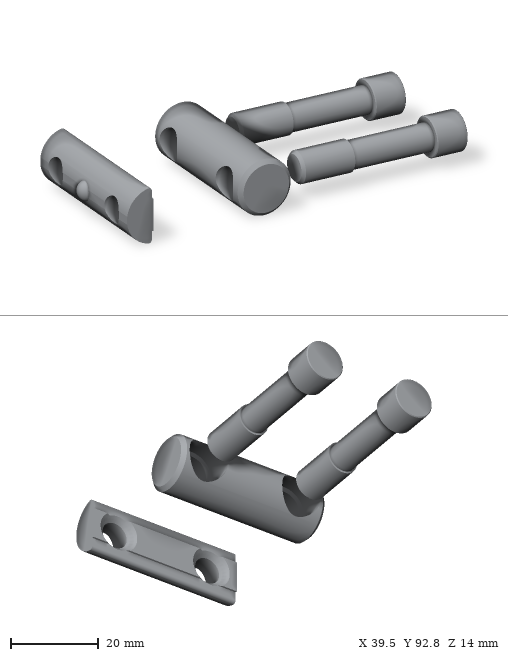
import cadquery as cq

body_length = 39.5
bolt_spacing = 25.5
bolt_x_positions = (-bolt_spacing / 2, bolt_spacing / 2)

bolt_head_end_y = (52.95, 54.45)
plate_front_y = -36.75

barrel_diameter = 14.0
barrel_chamfer = 1.0
barrel_hole_diameter = 8.0
counterbore_diameter = 10.6
counterbore_floor_y = 0.0

head_diameter = 10.0
head_height = 8.0
head_chamfer = 0.2
shank_diameter = 7.0
shank_length = 21.2
thread_diameter = 8.0
thread_length = 13.8
thread_tip_diameter = 6.6
thread_chamfer_length = 0.8

plate_radius = 7.0
front_flat_width = 2.0
plate_thickness = 7.0
pad_height = 0.5
pad_width = 8.0
plate_corner_radius = 0.75
plate_hole_diameter = 6.6
countersink_diameter = 10.1
ball_diameter = 5.0
ball_projection = 1.57


def cylinder_y(diameter, x, start_y, end_y):
    """Solid cylinder parallel to Y, from start_y to the larger end_y."""
    return (
        cq.Workplane("XZ", origin=(x, end_y, 0))
        .circle(diameter / 2)
        .extrude(end_y - start_y)
    )


def make_barrel():
    radius = barrel_diameter / 2
    barrel = (
        cq.Workplane("YZ", origin=(-body_length / 2, 0, 0))
        .circle(radius)
        .extrude(body_length)
        .faces("<X or >X")
        .chamfer(barrel_chamfer)
    )
    for x in bolt_x_positions:
        barrel = barrel.cut(cylinder_y(barrel_hole_diameter, x, -radius, radius))
        barrel = barrel.cut(cylinder_y(counterbore_diameter, x, counterbore_floor_y, radius))
    return barrel


def make_bolt(x, head_end_y):
    """Revolve the half profile about the bolt axis; the tip points toward -Y."""
    head_radius = head_diameter / 2
    head_base_y = head_end_y - head_height
    thread_start_y = head_base_y - shank_length
    tip_y = thread_start_y - thread_length
    half_profile = [
        (0, head_end_y),
        (head_radius - head_chamfer, head_end_y),
        (head_radius, head_end_y - head_chamfer),
        (head_radius, head_base_y + head_chamfer),
        (head_radius - head_chamfer, head_base_y),
        (shank_diameter / 2, head_base_y),
        (shank_diameter / 2, thread_start_y),
        (thread_diameter / 2, thread_start_y),
        (thread_diameter / 2, tip_y + thread_chamfer_length),
        (thread_tip_diameter / 2, tip_y),
        (0, tip_y),
    ]
    return (
        cq.Workplane("XY")
        .polyline(half_profile)
        .close()
        .revolve(360, (0, 0, 0), (0, 1, 0))
        .translate((x, 0, 0))
    )


def make_plate_blank():
    """Extrude the half-round section along X and round its two outer corners."""
    half_flat = front_flat_width / 2
    arc_centre_y = plate_front_y + (plate_radius**2 - half_flat**2) ** 0.5
    back_y = plate_front_y + plate_thickness
    shoulder_y = back_y - pad_height
    round_bar = (
        cq.Workplane("YZ", origin=(-body_length / 2, arc_centre_y, 0))
        .circle(plate_radius)
        .extrude(body_length)
    )
    slab_depth = shoulder_y - plate_front_y
    slab = cq.Workplane("XY").box(body_length, slab_depth, 2 * plate_radius)
    slab = slab.translate((0, plate_front_y + slab_depth / 2, 0))
    half_round = round_bar.intersect(slab)
    half_round = half_round.faces(">Y").edges("|X").fillet(plate_corner_radius)
    pad = cq.Workplane("XY").box(body_length, pad_height, pad_width)
    pad = pad.translate((0, shoulder_y + pad_height / 2, 0))
    return half_round.union(pad)


def make_countersink(x, back_y):
    """45-degree cone that opens the plate hole toward the back face."""
    depth = (countersink_diameter - plate_hole_diameter) / 2
    cone = cq.Solid.makeCone(
        countersink_diameter / 2,
        plate_hole_diameter / 2,
        depth,
        cq.Vector(x, back_y, 0),
        cq.Vector(0, -1, 0),
    )
    return cq.Workplane(obj=cone)


def make_plate():
    back_y = plate_front_y + plate_thickness
    plate = make_plate_blank()
    for x in bolt_x_positions:
        plate = plate.cut(cylinder_y(plate_hole_diameter, x, plate_front_y, back_y))
        plate = plate.cut(make_countersink(x, back_y))
    ball_centre_y = plate_front_y - ball_projection + ball_diameter / 2
    ball = cq.Workplane("XY").sphere(ball_diameter / 2).translate((0, ball_centre_y, 0))
    return plate.union(ball)


barrel = make_barrel()
plate = make_plate()
bolts = [make_bolt(x, y) for x, y in zip(bolt_x_positions, bolt_head_end_y)]

result = cq.Compound.makeCompound([barrel.val(), plate.val(), *(bolt.val() for bolt in bolts)])